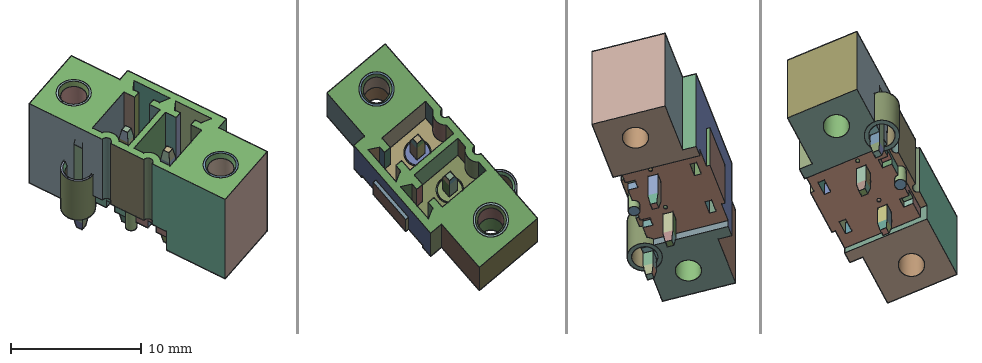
import cadquery as cq


LENGTH = 18.01
FLANGE_DEPTH = 5.9
CENTRE_LENGTH = 9.08
CENTRE_DEPTH = 7.0
HEIGHT = 9.19
BACK_PAD_LENGTH = 3.85
BACK_PAD_THICKNESS = 0.29
BACK_PAD_TOP = 5.5

PITCH = 3.82
PIN_WIDTH = 0.81
PIN_TIP_WIDTH = 0.52
PIN_TAPER_LENGTH = 0.97
PIN_BOTTOM = -2.61
PIN_TOP = 7.98
CONTACT_Y = 2.81
CONTACT_XS = (-PITCH / 2, PITCH / 2)

BUSHING_DIAMETER = 2.7
BUSHING_BORE = 2.02
BUSHING_MOUTH = 2.38
BUSHING_MOUTH_DEPTH = 0.41
BUSHING_HEIGHT = 4.5
FLANGE_BUSHING_X = 6.75

FRONT_BUSHING_X = -4.5
FRONT_PIN_Y = PIN_WIDTH / 2

POCKET_WIDTH = 3.31
POCKET_FRONT = 0.58
POCKET_BACK = 4.99
POCKET_FLOOR = 2.52
NECK_WIDTH = 1.35
KEY_FRONT = 5.58
KEY_FRONT_WIDTH = 2.45
KEY_BACK = 6.4
WINDOW_WIDTH = 1.15
WINDOW_DEPTH = 0.54

GROOVE_RADIUS = 0.38
BULGE_RADIUS = 0.97

RING_DIAMETER = 2.02
DOME_DIAMETER = 0.3
RING_GROOVE_WIDTH = 0.09

UNDERCUT_LENGTH = 7.2
UNDERSIDE_Z = 0.75
FRONT_UNDERCUT_TOP = 2.16
FRONT_UNDERCUT_DEPTH = 0.55
NOTCH_TOP = 1.58
NOTCH_DEPTH = 0.8
POST_DIAMETER = 0.9


def box(width, y_range, z_range, x=0.0):
    """Box centred on x, spanning the given Y and Z ranges."""
    front, back = y_range
    bottom, top = z_range
    block = cq.Workplane("XY").box(width, back - front, top - bottom, centered=(True, False, False))
    return block.translate((x, front, bottom))


def cylinder(diameter, x, y, z_range):
    """Vertical cylinder spanning the given Z range."""
    bottom, top = z_range
    return cq.Workplane("XY").circle(diameter / 2).extrude(top - bottom).translate((x, y, bottom))


def make_pin(x, y):
    """Square pin, tapered at both ends."""
    shank_bottom = PIN_BOTTOM + PIN_TAPER_LENGTH
    shank_top = PIN_TOP - PIN_TAPER_LENGTH
    pin = box(PIN_WIDTH, (-PIN_WIDTH / 2, PIN_WIDTH / 2), (shank_bottom, shank_top))
    for face in ("<Z", ">Z"):
        pin = (
            pin.faces(face).workplane()
            .rect(PIN_WIDTH, PIN_WIDTH)
            .workplane(offset=PIN_TAPER_LENGTH)
            .rect(PIN_TIP_WIDTH, PIN_TIP_WIDTH)
            .loft(combine=True)
        )
    return pin.translate((x, y, 0))


def make_bushing(x, y, bottom):
    """Plain sleeve whose bore widens to a conical mouth at the top."""
    mouth_start = BUSHING_HEIGHT - BUSHING_MOUTH_DEPTH
    profile = [
        (BUSHING_BORE / 2, 0),
        (BUSHING_DIAMETER / 2, 0),
        (BUSHING_DIAMETER / 2, BUSHING_HEIGHT),
        (BUSHING_MOUTH / 2, BUSHING_HEIGHT),
        (BUSHING_BORE / 2, mouth_start),
    ]
    sleeve = cq.Workplane("XZ").polyline(profile).close().revolve(360, (0, 0), (0, 1))
    return sleeve.translate((x, y, bottom))


def make_pocket(x):
    """Plug pocket with a dovetail key slot at the back and a window through the floor."""
    half_outline = [
        (POCKET_WIDTH / 2, POCKET_FRONT),
        (POCKET_WIDTH / 2, POCKET_BACK),
        (NECK_WIDTH / 2, POCKET_BACK),
        (NECK_WIDTH / 2, KEY_FRONT),
        (KEY_FRONT_WIDTH / 2, KEY_FRONT),
        (POCKET_WIDTH / 2, KEY_BACK),
    ]
    mirrored_half = [(-px, py) for px, py in reversed(half_outline)]
    cavity = cq.Workplane("XY").polyline(half_outline + mirrored_half).close().extrude(HEIGHT - POCKET_FLOOR)
    cavity = cavity.translate((x, 0, POCKET_FLOOR))
    cavity = cavity.cut(cylinder(2 * BULGE_RADIUS, x, 0, (POCKET_FLOOR, HEIGHT)))
    window = box(WINDOW_WIDTH, (KEY_BACK - WINDOW_DEPTH, KEY_BACK), (0, HEIGHT), x)
    return cavity.union(window)


def make_floor_groove(x):
    """Half-round ring groove around a contact in the pocket floor."""
    ring = cq.Solid.makeTorus(RING_DIAMETER / 2, RING_GROOVE_WIDTH / 2)
    return cq.Workplane(ring).translate((x, CONTACT_Y, POCKET_FLOOR))


def make_block():
    """Outer block with its raised middle and the pad on the back."""
    block = box(LENGTH, (0, FLANGE_DEPTH), (0, HEIGHT))
    block = block.union(box(CENTRE_LENGTH, (0, CENTRE_DEPTH), (0, HEIGHT)))
    pad_back = CENTRE_DEPTH + BACK_PAD_THICKNESS
    return block.union(box(BACK_PAD_LENGTH, (CENTRE_DEPTH, pad_back), (UNDERSIDE_Z, BACK_PAD_TOP)))


def shape_underside(body):
    """Undercut the middle of the block, then add the post and the domes beneath it."""
    body = body.cut(box(UNDERCUT_LENGTH, (0, CENTRE_DEPTH), (0, UNDERSIDE_Z)))
    body = body.cut(box(UNDERCUT_LENGTH, (0, FRONT_UNDERCUT_DEPTH), (0, FRONT_UNDERCUT_TOP)))
    notch_back = FRONT_UNDERCUT_DEPTH + NOTCH_DEPTH
    for x in CONTACT_XS:
        body = body.cut(box(2 * GROOVE_RADIUS, (0, notch_back), (0, NOTCH_TOP), x))
        for dome_x in (x - RING_DIAMETER / 2, x + RING_DIAMETER / 2):
            dome = cq.Workplane("XY").sphere(DOME_DIAMETER / 2)
            body = body.union(dome.translate((dome_x, CONTACT_Y, UNDERSIDE_Z)))
    return body.union(cylinder(POST_DIAMETER, 0, FRONT_UNDERCUT_DEPTH, (0, FRONT_UNDERCUT_TOP)))


def make_housing():
    """Moulded housing with seats for the pins and bushings."""
    body = shape_underside(make_block())
    for x in CONTACT_XS:
        body = body.cut(make_pocket(x))
        body = body.cut(make_floor_groove(x))
        body = body.cut(cylinder(2 * GROOVE_RADIUS, x, 0, (0, HEIGHT)))
        body = body.cut(make_pin(x, CONTACT_Y))
    for x in (-FLANGE_BUSHING_X, FLANGE_BUSHING_X):
        body = body.cut(cylinder(BUSHING_DIAMETER, x, CONTACT_Y, (HEIGHT - BUSHING_HEIGHT, HEIGHT)))
        body = body.cut(cylinder(BUSHING_BORE, x, CONTACT_Y, (0, HEIGHT)))
    body = body.cut(make_bushing(FRONT_BUSHING_X, 0, 0))
    return body.cut(make_pin(FRONT_BUSHING_X, FRONT_PIN_Y))


pin_places = [(x, CONTACT_Y) for x in CONTACT_XS] + [(FRONT_BUSHING_X, FRONT_PIN_Y)]
bushing_places = [
    (-FLANGE_BUSHING_X, CONTACT_Y, HEIGHT - BUSHING_HEIGHT),
    (FLANGE_BUSHING_X, CONTACT_Y, HEIGHT - BUSHING_HEIGHT),
    (FRONT_BUSHING_X, 0, 0),
]

housing = make_housing()
pins = [make_pin(*place) for place in pin_places]
bushings = [make_bushing(*place) for place in bushing_places]

result = cq.Compound.makeCompound(
    [housing.val(), *[pin.val() for pin in pins], *[bushing.val() for bushing in bushings]]
)